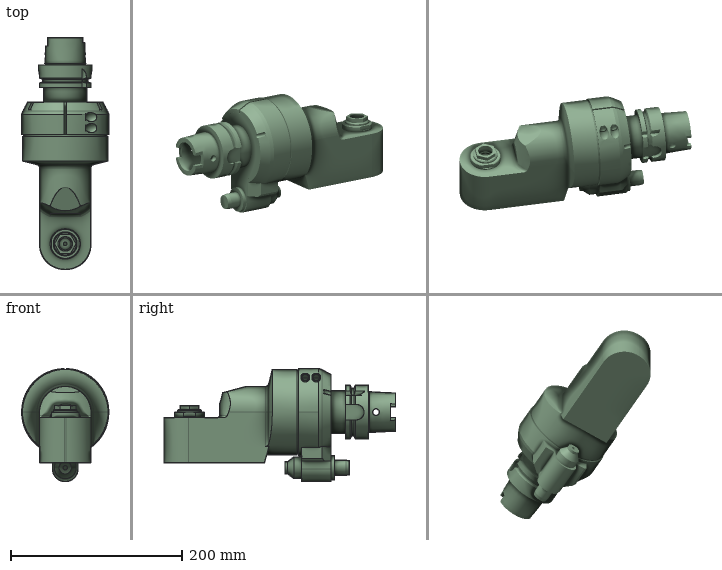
import cadquery as cq
import math


shank_end_radius = 22.5
taper_large_radius = 24.0
flange_station = 32.0
relief_station = 30.5
relief_radius = 23.4
shank_bore_radius = 17.0
shank_bore_depth = 40.0
flange_radius = 31.5
flange_end_station = 58.4
groove_start_station = 47.2
groove_end_station = 53.2
groove_radius = 28.0
groove_flank = 1.5
neck_radius = 25.2
key_slot_width = 12.5
key_flat_offset = 20.5
near_key_depth = 9.8
far_key_depth = 5.8
side_hole_diameter = 7.5
side_hole_station = 23.0
drive_slot_width = 18.0
drive_slot_start = 37.0
drive_slot_floor = 26.5
index_notch_offset = 19.7
index_notch_start = 36.7
index_notch_run_out = 44.0
index_notch_outer = 24.5
index_notch_end_radius = 9.0

ring_station = 75.5
ring_end_station = 113.5
ring_radius = 51.0
ring_face_radius = 44.0
ring_cone_end_radius = 49.6
ring_cone_end_station = 86.0
ring_shoulder_station = 90.0
ring_bore_radius = 40.0
slit_width = 2.4
screw_stations = (92.9, 105.7)
screw_height = 40.5
screw_hole_diameter = 7.5
screw_head_diameter = 10.4
screw_seat_x = 23.5
screw_hole_end_x = -20.0
spanner_groove_diameter = 5.0
spanner_groove_length = 9.5
spanner_angles = (30, 150)
lug_radius = 15.0
overall_height = 132.23
lug_bottom = ring_radius - overall_height
lug_center_z = lug_bottom + lug_radius
lug_end_station = 110.0
lug_root_half_width = 29.5
lug_root_top = -30.0
lug_root_bottom = -57.0
lug_root_lower_side = -54.0
lug_side_chamfer = 12.0
lug_shoulder_half_width = 26.5

pin_axis_z = -65.0
pin_station = 54.2
pin_end_chamfer = 0.8
pin_end_chamfer_length = 4.0
pin_shaft_radius = 9.0
pin_flange_radius = 14.3
pin_flange_station = 71.3
pin_body_radius = 12.8
pin_cone_station = 119.0
pin_tip_station = 126.2
pin_tip_radius = 7.2
pin_end_station = 129.4
pin_hole_diameter = 5.0
pin_hole_depth = 10.0

housing_radius = 50.0
housing_station = 115.4
housing_groove_radius = 49.0
housing_cone_station = 144.2
flare_fillet_radius_at_cone = 33.0
flare_fillet_station = 148.5
arm_radius = 30.0
arm_station = 152.3
arm_end_station = 271.0
arm_nose_radius = 29.0
arm_bottom = -59.5
arm_bottom_chamfer = 0.5
back_wall_angle = 15.0
back_wall_bottom_station = 153.3
seat_z = -6.5
slope_station = 175.0
slope_angle = 15.0
end_cone_station = 167.5
end_cone_radius = 40.9
end_cone_taper = 15.0
end_flat_station = 205.7
end_fillet_radius = 3.5

nut_station = 241.0
nut_base_radius = 17.7
nut_base_top = 0.0
nut_flat_width = 14.0
nut_flat_bottom = -5.0
nut_step_radius = 14.0
nut_step_top = 3.0
nut_step_chamfer = 1.0
nut_hex_size = 22.0
nut_top = 7.6
nut_bore_diameter = 17.0
nut_bore_depth = 9.0
nut_recess_diameter = 14.0
nut_recess_depth = 2.0
nut_base_chamfer = 0.7
nut_center_hole_diameter = 4.2

REACH = 200.0


def turned(points):
    """Solid of revolution about Y from (radius, station) points."""
    return (
        cq.Workplane("XY")
        .polyline([(radius, -station) for radius, station in points])
        .close()
        .revolve(360, (0, 0, 0), (0, 1, 0))
    )


def block(x_range, station_range, z_range):
    """Box between two X, two station and two Z limits."""
    x_size = x_range[1] - x_range[0]
    length = station_range[1] - station_range[0]
    z_size = z_range[1] - z_range[0]
    corner = (x_range[0], -station_range[1], z_range[0])
    return cq.Workplane("XY").box(x_size, length, z_size, centered=False).translate(corner)


def bar_along_x(diameter, x_range, station, z):
    """Round bar parallel to X."""
    return cq.Workplane(
        cq.Solid.makeCylinder(
            diameter / 2,
            x_range[1] - x_range[0],
            cq.Vector(x_range[0], -station, z),
            cq.Vector(1, 0, 0),
        )
    )


def bar_along_y(diameter, station_range, x, z):
    """Round bar parallel to Y."""
    return cq.Workplane(
        cq.Solid.makeCylinder(
            diameter / 2,
            station_range[1] - station_range[0],
            cq.Vector(x, -station_range[0], z),
            cq.Vector(0, -1, 0),
        )
    )


def make_shank():
    """Hollow taper shank with its gripper flange and neck."""
    body = turned([
        (0, 0),
        (shank_end_radius, 0),
        (taper_large_radius, relief_station),
        (relief_radius, relief_station),
        (relief_radius, flange_station),
        (flange_radius, flange_station),
        (flange_radius, groove_start_station),
        (groove_radius, groove_start_station + groove_flank),
        (groove_radius, groove_end_station - groove_flank),
        (flange_radius, groove_end_station),
        (flange_radius, flange_end_station),
        (neck_radius, flange_end_station),
        (neck_radius, ring_station),
        (0, ring_station),
    ])
    body = body.cut(bar_along_y(2 * shank_bore_radius, (0, shank_bore_depth), 0, 0))
    body = body.cut(bar_along_x(side_hole_diameter, (-REACH, REACH), side_hole_station, 0))
    for side, key_depth in ((-1, near_key_depth), (1, far_key_depth)):
        body = body.cut(key_cut(side, key_depth)).cut(drive_slot(side))
    return body.cut(index_notch())


def key_cut(side, depth):
    """Key slot in the shank end together with the flat around it."""
    half_slot = key_slot_width / 2
    slot_x = sorted((0, side * REACH))
    flat_x = sorted((side * key_flat_offset, side * REACH))
    slot = block(slot_x, (0, depth), (-half_slot, half_slot))
    return slot.union(block(flat_x, (0, depth), (-REACH, REACH)))


def drive_slot(side):
    """Round-ended slot in the flange, open toward the ring."""
    half_width = drive_slot_width / 2
    x_range = sorted((side * drive_slot_floor, side * REACH))
    center_station = drive_slot_start + half_width
    slot = block(x_range, (center_station, flange_end_station), (-half_width, half_width))
    return slot.union(bar_along_x(drive_slot_width, x_range, center_station, 0))


def index_notch():
    """Right-angled notch across the flange edge at 45 degrees."""
    return (
        cq.Workplane("XY", origin=(0, 0, index_notch_offset))
        .moveTo(index_notch_offset, -flange_end_station)
        .lineTo(index_notch_offset, -index_notch_start)
        .radiusArc((index_notch_outer, -index_notch_run_out), index_notch_end_radius)
        .lineTo(flange_radius, -index_notch_run_out)
        .lineTo(flange_radius, -flange_end_station)
        .close()
        .extrude(flange_radius)
    )


def make_clamp_ring():
    """Slit clamp ring with the lug for the stop pin."""
    ring = turned([
        (0, ring_station),
        (ring_face_radius, ring_station),
        (ring_cone_end_radius, ring_cone_end_station),
        (ring_radius, ring_shoulder_station),
        (ring_radius, ring_end_station),
        (0, ring_end_station),
    ])
    ring = ring.union(lug_root()).union(lug())
    ring = ring.cut(bar_along_y(2 * ring_bore_radius, (ring_station, ring_end_station), 0, 0))
    half_slit = slit_width / 2
    ring = ring.cut(block((-half_slit, half_slit), (ring_station, ring_end_station), (0, REACH)))
    for station in screw_stations:
        ring = ring.cut(bar_along_x(screw_head_diameter, (screw_seat_x, REACH), station, screw_height))
        ring = ring.cut(bar_along_x(screw_hole_diameter, (screw_hole_end_x, REACH), station, screw_height))
    for angle in spanner_angles:
        ring = ring.cut(spanner_groove(angle))
    pin_stations = (ring_station, lug_end_station)
    return ring.cut(bar_along_y(2 * pin_body_radius, pin_stations, 0, pin_axis_z))


def spanner_groove(angle):
    """Round groove that runs down the ring's cone from its tail face."""
    cone_angle = math.atan2(ring_cone_end_radius - ring_face_radius, ring_cone_end_station - ring_station)
    groove = cq.Solid.makeCylinder(
        spanner_groove_diameter / 2,
        2 * spanner_groove_length,
        cq.Vector(0, spanner_groove_length, 0),
        cq.Vector(0, -1, 0),
    )
    groove = groove.rotate(cq.Vector(0, 0, 0), cq.Vector(0, 0, 1), math.degrees(cone_angle))
    groove = groove.translate(cq.Vector(ring_face_radius, -ring_station, 0))
    return cq.Workplane(groove.rotate(cq.Vector(0, 0, 0), cq.Vector(0, 1, 0), -angle))


def lug_root():
    """Wide block that joins the ring to the lug; its tail-side corners are cut back."""
    half = lug_root_half_width
    low = lug_shoulder_half_width
    outline = [
        (-half, lug_root_top),
        (-half, lug_root_lower_side),
        (-low, lug_root_bottom),
        (low, lug_root_bottom),
        (half, lug_root_lower_side),
        (half, lug_root_top),
    ]
    root = (
        cq.Workplane("XZ", origin=(0, -ring_station, 0))
        .polyline(outline)
        .close()
        .extrude(lug_end_station - ring_station)
    )
    plan = (
        cq.Workplane("XY", origin=(0, 0, lug_root_bottom))
        .polyline([
            (-half, -lug_end_station),
            (-half, -ring_cone_end_station),
            (-half + lug_side_chamfer, -ring_station),
            (half - lug_side_chamfer, -ring_station),
            (half, -ring_cone_end_station),
            (half, -lug_end_station),
        ])
        .close()
        .extrude(lug_root_top - lug_root_bottom)
    )
    return root.intersect(plan)


def lug():
    """Round-bottomed eye that carries the stop pin."""
    stations = (ring_station, lug_end_station)
    eye = bar_along_y(2 * lug_radius, stations, 0, lug_center_z)
    return eye.union(block((-lug_radius, lug_radius), stations, (lug_center_z, lug_root_bottom)))


def make_stop_pin():
    """Turned pin seated in the lug with its flange on the tail side."""
    pin = turned([
        (0, pin_station),
        (pin_shaft_radius - pin_end_chamfer, pin_station),
        (pin_shaft_radius, pin_station + pin_end_chamfer_length),
        (pin_shaft_radius, pin_flange_station),
        (pin_flange_radius, pin_flange_station),
        (pin_flange_radius, ring_station),
        (pin_body_radius, ring_station),
        (pin_body_radius, pin_cone_station),
        (pin_tip_radius, pin_tip_station),
        (pin_tip_radius, pin_end_station),
        (0, pin_end_station),
    ])
    hole_stations = (pin_end_station - pin_hole_depth, pin_end_station)
    pin = pin.cut(bar_along_y(pin_hole_diameter, hole_stations, 0, 0))
    return pin.translate((0, 0, pin_axis_z))


def make_housing():
    """Barrel with a spigot inside the clamp ring, flaring down to the arm."""
    barrel = turned([
        (0, ring_station),
        (ring_bore_radius, ring_station),
        (ring_bore_radius, ring_end_station),
        (housing_groove_radius, ring_end_station),
        (housing_groove_radius, housing_station),
        (housing_radius, housing_station),
        (housing_radius, housing_cone_station),
        (0, housing_cone_station),
    ])
    return barrel.union(flare()).union(arm())


def flare_profile():
    """Half outline of the flare, from the axis out to the barrel."""
    return (
        cq.Workplane("XY")
        .moveTo(0, -housing_cone_station)
        .lineTo(housing_radius, -housing_cone_station)
        .lineTo(flare_fillet_radius_at_cone, -flare_fillet_station)
        .tangentArcPoint((arm_radius, -arm_station), relative=False)
        .lineTo(0, -arm_station)
        .close()
    )


def flare():
    """Cone above the axis and sloped side walls below it, blending into the arm."""
    cone = flare_profile().revolve(360, (0, 0, 0), (0, 1, 0))
    wall = flare_profile().extrude(-housing_radius)
    walls = wall.union(wall.mirror("YZ"))
    envelope = bar_along_y(2 * housing_radius, (housing_cone_station, arm_station), 0, 0)
    upper = cone.intersect(block((-REACH, REACH), (0, REACH), (0, REACH)))
    return upper.union(walls.intersect(envelope))


def arm():
    """Round-topped arm, cut down to a flat seat for the spindle at its nose."""
    return lower_arm().union(upper_arm())


def lower_arm():
    """Flat-sided arm below the seat, round at the nose and undercut at the back."""
    slab = block((-arm_radius, arm_radius), (housing_cone_station, arm_end_station), (arm_bottom, seat_z))
    slab = slab.edges("|Z and <Y").fillet(arm_nose_radius)
    slab = slab.faces("<Z").chamfer(arm_bottom_chamfer)
    rise = (back_wall_bottom_station - housing_cone_station) / math.tan(math.radians(back_wall_angle))
    undercut = (
        cq.Workplane("YZ", origin=(-REACH, 0, 0))
        .polyline([
            (-housing_cone_station, arm_bottom),
            (-back_wall_bottom_station, arm_bottom),
            (-housing_cone_station, arm_bottom + rise),
        ])
        .close()
        .extrude(2 * REACH)
    )
    return slab.cut(undercut)


def upper_arm():
    """Raised part of the arm: round top, sloped flat and conical end."""
    length = arm_end_station - housing_cone_station
    stations = (housing_cone_station, arm_end_station)
    section = bar_along_y(2 * arm_radius, stations, 0, 0)
    section = section.union(block((-arm_radius, arm_radius), stations, (-arm_radius, 0)))
    drop = length * math.tan(math.radians(slope_angle))
    slope = (
        cq.Workplane("YZ", origin=(-REACH, 0, 0))
        .polyline([
            (-slope_station, arm_radius),
            (-slope_station - length, arm_radius - drop),
            (-slope_station - length, arm_radius),
        ])
        .close()
        .extrude(2 * REACH)
    )
    straight_stations = (housing_cone_station, end_cone_station)
    straight = block((-arm_radius, arm_radius), straight_stations, (seat_z, arm_radius))
    return straight.union(conical_end()).intersect(section).cut(slope)


def end_wall_profile(outward, normal, foot, taper):
    """Wall outline from a vertical axis, leaning in by the taper and blended into the seat."""
    lean = math.radians(taper)
    blend_length = end_fillet_radius * math.tan((math.pi / 2 - lean) / 2)
    blend_top = (foot - blend_length * math.sin(lean), seat_z + blend_length * math.cos(lean))
    wall_top = foot - (arm_radius - seat_z) * math.tan(lean)
    return (
        cq.Workplane(cq.Plane((0, -end_cone_station, 0), outward, normal))
        .moveTo(0, seat_z)
        .lineTo(0, arm_radius)
        .lineTo(wall_top, arm_radius)
        .lineTo(*blend_top)
        .tangentArcPoint((foot + blend_length, seat_z), relative=False)
        .close()
    )


def conical_end():
    """Upright cone cut by a vertical flat, both blended into the seat."""
    cone_foot = end_cone_radius - seat_z * math.tan(math.radians(end_cone_taper))
    cone_profile = end_wall_profile((1, 0, 0), (0, -1, 0), cone_foot, end_cone_taper)
    cone = cone_profile.revolve(360, (0, 0, 0), (0, 1, 0))
    flat_foot = end_flat_station - end_cone_station
    flat = end_wall_profile((0, -1, 0), (-1, 0, 0), flat_foot, 0).extrude(arm_radius, both=True)
    return cone.intersect(flat)


def make_collet_nut():
    """Stepped nut with a hexagon top, standing on the seat."""
    base = cq.Workplane("XY", origin=(0, -nut_station, seat_z)).circle(nut_base_radius)
    nut = base.extrude(nut_base_top - seat_z).faces(">Z").chamfer(nut_base_chamfer)
    flat_x = math.sqrt(nut_base_radius**2 - (nut_flat_width / 2) ** 2)
    flat_stations = (nut_station - nut_base_radius, nut_station + nut_base_radius)
    for side in (-1, 1):
        x_range = sorted((side * flat_x, side * REACH))
        nut = nut.cut(block(x_range, flat_stations, (nut_flat_bottom, nut_base_top)))
    step = cq.Workplane("XY", origin=(0, -nut_station, nut_base_top)).circle(nut_step_radius)
    nut = nut.union(step.extrude(nut_step_top - nut_base_top).faces(">Z").chamfer(nut_step_chamfer))
    corner_diameter = nut_hex_size / math.cos(math.pi / 6)
    hexagon = cq.Workplane("XY", origin=(0, -nut_station, nut_step_top)).polygon(6, corner_diameter)
    nut = nut.union(hexagon.extrude(nut_top - nut_step_top))
    nut_bores = (
        (nut_bore_diameter, nut_bore_depth),
        (nut_recess_diameter, nut_bore_depth + nut_recess_depth),
        (nut_center_hole_diameter, nut_top - seat_z),
    )
    for diameter, depth in nut_bores:
        bore = cq.Workplane("XY", origin=(0, -nut_station, nut_top)).circle(diameter / 2)
        nut = nut.cut(bore.extrude(-depth))
    return nut


shank = make_shank()
clamp_ring = make_clamp_ring()
stop_pin = make_stop_pin()
housing = make_housing()
collet_nut = make_collet_nut()

result = cq.Compound.makeCompound([
    shank.val(),
    clamp_ring.val(),
    stop_pin.val(),
    housing.val(),
    collet_nut.val(),
])